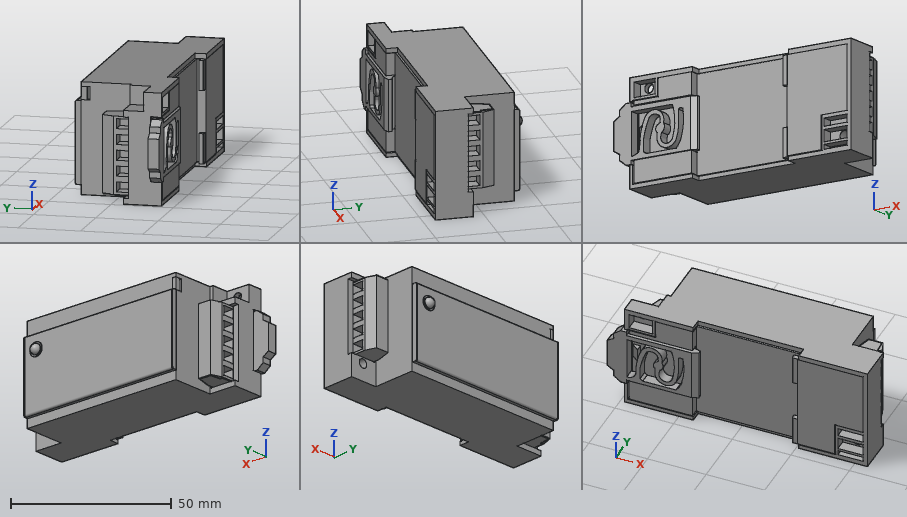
import cadquery as cq


CASE_LENGTH = 82.9
CASE_WIDTH = 36.1
HALF_WIDTH = CASE_WIDTH / 2
SHOULDER_Y = 12.2
TOWER_LEFT = 10.45
TOWER_RIGHT = 72.4
TOWER_Y = 28.3

OPENING_LEFT = 1.1
OPENING_RIGHT = 81.4
OPENING_TOP = 16.4
OPENING_BOTTOM = -16.65
OPENING_DEPTH = 3.7
COVER_GAP = 0.3
RAIL_LEFT = 23.5
RAIL_RIGHT = 59.4

UPPER_PILLAR_RIGHT = 10.4
UPPER_PILLAR_BOTTOM = 10.5
LOWER_PILLAR_LEFT = 72.0
LOWER_PILLAR_TOP = -5.1
UPPER_POCKET_LEFT = 1.6
UPPER_POCKET_RIGHT = 9.6
UPPER_POCKET_BOTTOM = 11.3
LOWER_POCKET_LEFT = 72.8
LOWER_POCKET_SPANS = [(-8.95, -6.3), (-14.0, -10.0), (-16.4, -14.8)]
SCREW_DIAMETER = 3.2
UPPER_SCREW = (4.8, 14.8)
LOWER_SCREW = (78.0, -11.9)

NOTCH_LENGTH = 9.1
NOTCH_FLOOR_Y = 5.7
NOTCH_BOTTOM = 11.9

COVER_LEFT = 1.6
COVER_RAIL_LEFT = 23.2
COVER_RAIL_RIGHT = 59.0
COVER_RAIL_Y = 3.0
HOOK_REACH = 1.95
HOOK_LOW_Y = 0.3
HOOK_HIGH_Y = 1.9
HOOK_BEVEL = 0.3
HOOK_SPANS = [(6.7, OPENING_TOP), (OPENING_BOTTOM, -7.0)]

LATCH_FRONT_Y = -0.5
LATCH_BACK_Y = 2.9
LATCH_MIDDLE_Z = -0.3
LATCH_TOP = 8.4
LATCH_BOTTOM = -8.95
LATCH_SLOT_TOP = 8.95
LATCH_NOSE_X = 25.25
NOSE_LOW_Y = 0.3
NOSE_HIGH_Y = 1.4
NOSE_ROOT_Y = 2.1
HEAD_SLOT_HALF = 10.3
HEAD_SLOT_DEPTH = 3.45
HEAD_STEPS = [(0.9, 10.0), (-1.1, 10.0), (-3.45, 8.15), (-3.45, 6.2), (-5.7, 4.8)]

CATCH_HEEL_X = 1.5
CATCH_TIP_X = 3.8
CATCH_HEEL_Y = 3.3
CATCH_TIP_Y = 1.5
CATCH_TOP = 2.4
CATCH_BOTTOM = -2.0

TERMINAL_BASE_Y = 10.6
TERMINAL_TOP = 9.5
TERMINAL_BOTTOM = -15.9
TERMINAL_SEAT_GAP = 0.3
TERMINAL_FACE_X = 2.1
TERMINAL_BACK_X = 10.1
TERMINAL_SLOPE_Y = 15.95
TERMINAL_BACK_SLOPE_Y = 13.9
TERMINAL_CREST_Y = 19.75
TERMINAL_CREST_LEFT = 3.45
TERMINAL_CREST_RIGHT = 8.5
END_STEP = 0.3
END_NOTCH_X = 3.4
END_NOTCH_Y = 15.4
WIRE_ENTRIES = 5
WIRE_PITCH = 5.05
FIRST_WIRE_Z = 7.1
WIRE_WIDTH = 3.2
WIRE_LOW_Y = 10.7
WIRE_HIGH_Y = 15.0
WIRE_TAPER = 0.3
WIRE_DEPTH = 3.5

FRONT_LEFT = 10.1
FRONT_RIGHT = 72.1
FRONT_TOP = 12.1
FRONT_BOTTOM = -14.8
FRONT_Y = 30.1
FRONT_ROUNDING = 0.6
WINDOW_BORDER = 0.4
WINDOW_BACK_Y = 29.4

LAMP_X = 66.9
LAMP_Z = 6.55
LAMP_RADIUS = 1.9
BEZEL_RADIUS = 2.5
BEZEL_THICKNESS = 0.3

INSERT_TOP = 16.6
INSERT_BOTTOM = 12.3
INSERT_Y = 26.4
INSERT_SLOT_Y = 25.5
INSERT_DEPTH = 1.3


def box(x0, x1, y0, y1, z0, z1):
    """Box between the given limits."""
    return cq.Workplane("XY").box(x1 - x0, y1 - y0, z1 - z0, centered=False).translate((x0, y0, z0))


def face_at(y):
    """Work plane at height y with local axes X and Z; extruding goes toward -Y."""
    return cq.Workplane("XZ", origin=(0, y, 0))


def prism_z(points, z0, z1):
    """X-Y outline extruded from z0 to z1."""
    return cq.Workplane("XY", origin=(0, 0, z0)).polyline(points).close().extrude(z1 - z0)


def half_turn(body):
    """The same body at the other end of the case."""
    middle = CASE_LENGTH / 2
    return body.rotate((middle, 0, 0), (middle, 1, 0), 180)


def opening_volume():
    """Room inside the rim on the rail side, around the two screw pillars."""
    room = box(OPENING_LEFT, OPENING_RIGHT, 0, OPENING_DEPTH, OPENING_BOTTOM, OPENING_TOP)
    upper = box(OPENING_LEFT, UPPER_PILLAR_RIGHT, 0, OPENING_DEPTH, UPPER_PILLAR_BOTTOM, OPENING_TOP)
    lower = box(LOWER_PILLAR_LEFT, OPENING_RIGHT, 0, OPENING_DEPTH, OPENING_BOTTOM, LOWER_PILLAR_TOP)
    return room.cut(upper).cut(lower)


def screw_hole(place, end_y):
    return face_at(end_y).center(*place).circle(SCREW_DIAMETER / 2).extrude(end_y)


def terminal_seat():
    """Sunken seat across the left shoulder for a terminal block."""
    low = TERMINAL_BOTTOM - TERMINAL_SEAT_GAP
    high = TERMINAL_TOP + TERMINAL_SEAT_GAP
    return box(0, TERMINAL_BACK_X, TERMINAL_BASE_Y, SHOULDER_Y, low, high)


def catch():
    """Ramp on the opening floor, inside the latch window."""
    outline = [
        (OPENING_LEFT, OPENING_DEPTH),
        (OPENING_LEFT, CATCH_HEEL_Y),
        (CATCH_HEEL_X, CATCH_HEEL_Y),
        (CATCH_TIP_X, CATCH_TIP_Y),
        (CATCH_TIP_X, OPENING_DEPTH),
    ]
    return prism_z(outline, CATCH_BOTTOM, CATCH_TOP)


def make_housing():
    base = box(0, CASE_LENGTH, 0, SHOULDER_Y, -HALF_WIDTH, HALF_WIDTH)
    tower = box(TOWER_LEFT, TOWER_RIGHT, SHOULDER_Y, TOWER_Y, -HALF_WIDTH, HALF_WIDTH)
    housing = base.union(tower).cut(opening_volume())
    housing = housing.cut(box(RAIL_LEFT, RAIL_RIGHT, 0, OPENING_DEPTH, -HALF_WIDTH, HALF_WIDTH))
    housing = housing.cut(box(0, OPENING_LEFT, 0, HEAD_SLOT_DEPTH, -HEAD_SLOT_HALF, HEAD_SLOT_HALF))
    housing = housing.cut(
        box(UPPER_POCKET_LEFT, UPPER_POCKET_RIGHT, 0, OPENING_DEPTH, UPPER_POCKET_BOTTOM, OPENING_TOP)
    )
    for low, high in LOWER_POCKET_SPANS:
        housing = housing.cut(box(LOWER_POCKET_LEFT, OPENING_RIGHT, 0, OPENING_DEPTH, low, high))
    housing = housing.cut(box(0, NOTCH_LENGTH, NOTCH_FLOOR_Y, SHOULDER_Y, NOTCH_BOTTOM, HALF_WIDTH))
    housing = housing.cut(screw_hole(UPPER_SCREW, NOTCH_FLOOR_Y)).cut(screw_hole(LOWER_SCREW, SHOULDER_Y))
    housing = housing.cut(terminal_seat()).cut(half_turn(terminal_seat()))
    insert_end = TOWER_LEFT + INSERT_DEPTH
    housing = housing.cut(box(TOWER_LEFT, insert_end, INSERT_SLOT_Y, TOWER_Y, INSERT_BOTTOM, INSERT_TOP))
    return housing.union(catch())


def hook_outline():
    """Section of a rail hook, bevelled at its lower tip."""
    tip_x = COVER_RAIL_RIGHT - HOOK_REACH
    return [
        (COVER_RAIL_RIGHT, HOOK_LOW_Y),
        (tip_x + HOOK_BEVEL, HOOK_LOW_Y),
        (tip_x, HOOK_LOW_Y + HOOK_BEVEL),
        (tip_x, HOOK_HIGH_Y),
        (COVER_RAIL_RIGHT, HOOK_HIGH_Y),
    ]


def make_bottom_cover():
    """Plate in the opening: two thick wings joined by a thin web along the rail channel."""
    cover = opening_volume()
    cover = cover.cut(box(OPENING_LEFT, COVER_LEFT, 0, OPENING_DEPTH, -HALF_WIDTH, HALF_WIDTH))
    low = OPENING_BOTTOM + COVER_GAP
    for left, right in [(OPENING_LEFT, COVER_RAIL_LEFT), (COVER_RAIL_RIGHT, OPENING_RIGHT)]:
        cover = cover.cut(box(left, right, 0, OPENING_DEPTH, OPENING_BOTTOM, low))
    pillar_right = UPPER_PILLAR_RIGHT + COVER_GAP
    pillar_bottom = UPPER_PILLAR_BOTTOM - COVER_GAP
    cover = cover.cut(box(OPENING_LEFT, pillar_right, 0, OPENING_DEPTH, pillar_bottom, OPENING_TOP))
    pillar_left = LOWER_PILLAR_LEFT - COVER_GAP
    cover = cover.cut(box(pillar_left, OPENING_RIGHT, 0, OPENING_DEPTH, OPENING_BOTTOM, LOWER_PILLAR_TOP))
    cover = cover.cut(box(COVER_RAIL_LEFT, COVER_RAIL_RIGHT, 0, COVER_RAIL_Y, -HALF_WIDTH, HALF_WIDTH))
    cover = cover.cut(box(COVER_LEFT, COVER_RAIL_LEFT, 0, OPENING_DEPTH, LATCH_BOTTOM, LATCH_SLOT_TOP))
    for low, high in HOOK_SPANS:
        cover = cover.union(prism_z(hook_outline(), low, high))
    return cover


def upper_spring_window():
    """Latch window on the outer side of the S-shaped spring arm."""
    return (
        face_at(LATCH_BACK_Y)
        .moveTo(1.1, -7.6)
        .lineTo(1.1, 6.8)
        .lineTo(16.0, 6.8)
        .lineTo(16.5, 6.3)
        .threePointArc((17.3, 1.3), (16.6, -3.45))
        .threePointArc((14.3, -5.5), (12.0, -3.1))
        .lineTo(12.3, -1.7)
        .threePointArc((13.4, -0.2), (13.0, 1.3))
        .threePointArc((9.7, 6.1), (6.2, 4.4))
        .threePointArc((4.9, 1.0), (4.25, -2.7))
        .lineTo(4.1, -5.6)
        .threePointArc((3.0, -7.1), (1.4, -7.6))
        .close()
        .extrude(LATCH_BACK_Y - LATCH_FRONT_Y)
    )


def lower_spring_window():
    """Latch window on the inner side of the S-shaped spring arm, ending in a slim finger."""
    return (
        face_at(LATCH_BACK_Y)
        .moveTo(6.5, -7.6)
        .lineTo(5.6, -6.9)
        .lineTo(5.6, -2.7)
        .threePointArc((6.4, 0.5), (7.5, 3.5))
        .threePointArc((9.6, 4.7), (11.8, 2.8))
        .lineTo(11.7, 1.6)
        .lineTo(10.7, 1.0)
        .threePointArc((10.1, -0.2), (10.6, -1.4))
        .lineTo(10.6, -3.9)
        .threePointArc((13.9, -6.8), (17.9, -4.4))
        .threePointArc((18.6, -1.3), (18.7, 1.0))
        .lineTo(18.7, 4.8)
        .threePointArc((19.6, 5.2), (20.3, 4.6))
        .threePointArc((20.55, 1.0), (19.8, -3.8))
        .threePointArc((19.05, -5.9), (17.8, -7.6))
        .close()
        .extrude(LATCH_BACK_Y - LATCH_FRONT_Y)
    )


def make_latch():
    """Sliding latch: stepped pull head, flat body with a cut-out spring and a bevelled nose."""
    side = [
        (HEAD_STEPS[0][0], LATCH_FRONT_Y),
        (COVER_RAIL_LEFT, LATCH_FRONT_Y),
        (LATCH_NOSE_X, NOSE_LOW_Y),
        (LATCH_NOSE_X, NOSE_HIGH_Y),
        (COVER_RAIL_LEFT, NOSE_ROOT_Y),
        (COVER_RAIL_LEFT, LATCH_BACK_Y),
        (HEAD_STEPS[0][0], LATCH_BACK_Y),
    ]
    body = prism_z(side, LATCH_BOTTOM, LATCH_TOP)
    upper_edge = [(x, LATCH_MIDDLE_Z + half) for x, half in HEAD_STEPS]
    lower_edge = [(x, LATCH_MIDDLE_Z - half) for x, half in reversed(HEAD_STEPS)]
    head = face_at(LATCH_BACK_Y).polyline(upper_edge + lower_edge).close()
    head = head.extrude(LATCH_BACK_Y - LATCH_FRONT_Y)
    return body.union(head).cut(upper_spring_window()).cut(lower_spring_window())


def wire_entry(z):
    """Rectangular wire entry centred at z, narrowing slightly toward its floor."""
    height = WIRE_HIGH_Y - WIRE_LOW_Y
    return (
        cq.Workplane("YZ", origin=(TERMINAL_FACE_X, (WIRE_LOW_Y + WIRE_HIGH_Y) / 2, z))
        .rect(height, WIRE_WIDTH)
        .workplane(offset=WIRE_DEPTH)
        .rect(height - 2 * WIRE_TAPER, WIRE_WIDTH - 2 * WIRE_TAPER)
        .loft(ruled=True)
    )


def make_left_terminal():
    """Terminal block with a thin stepped plate on its lower end and a row of wire entries."""
    outline = [
        (TERMINAL_FACE_X, TERMINAL_BASE_Y),
        (TERMINAL_FACE_X, TERMINAL_SLOPE_Y),
        (TERMINAL_CREST_LEFT, TERMINAL_CREST_Y),
        (TERMINAL_CREST_RIGHT, TERMINAL_CREST_Y),
        (TERMINAL_BACK_X, TERMINAL_BACK_SLOPE_Y),
        (TERMINAL_BACK_X, TERMINAL_BASE_Y),
    ]
    end_outline = [
        (TERMINAL_FACE_X + END_STEP, TERMINAL_BASE_Y),
        (TERMINAL_FACE_X + END_STEP, END_NOTCH_Y),
        (END_NOTCH_X, END_NOTCH_Y),
        (TERMINAL_CREST_LEFT + END_STEP, TERMINAL_CREST_Y - END_STEP),
        (TERMINAL_CREST_RIGHT - END_STEP, TERMINAL_CREST_Y - END_STEP),
        (TERMINAL_BACK_X - END_STEP, TERMINAL_BACK_SLOPE_Y),
        (TERMINAL_BACK_X - END_STEP, TERMINAL_BASE_Y),
    ]
    terminal = prism_z(outline, TERMINAL_BOTTOM + END_STEP, TERMINAL_TOP)
    terminal = terminal.union(prism_z(end_outline, TERMINAL_BOTTOM, TERMINAL_BOTTOM + END_STEP))
    for i in range(WIRE_ENTRIES):
        terminal = terminal.cut(wire_entry(FIRST_WIRE_Z - i * WIRE_PITCH))
    return terminal


def front_profile(x0, x1):
    """Front cover section, rounded along both long edges, from x0 to x1."""
    blank = box(x0, x1, TOWER_Y, FRONT_Y, FRONT_BOTTOM, FRONT_TOP)
    return blank.faces(">Y").edges("|X").fillet(FRONT_ROUNDING)


def make_window():
    """Window plate: the outer layer of the front section between the end borders."""
    left = FRONT_LEFT + WINDOW_BORDER
    right = FRONT_RIGHT - WINDOW_BORDER
    layer = box(left, right, WINDOW_BACK_Y, FRONT_Y, FRONT_BOTTOM, FRONT_TOP)
    return front_profile(left, right).intersect(layer)


def make_front_cover():
    return front_profile(FRONT_LEFT, FRONT_RIGHT).cut(make_window())


def make_bezel():
    """Flat ring around the lamp."""
    ring = face_at(FRONT_Y + BEZEL_THICKNESS).center(LAMP_X, LAMP_Z)
    return ring.circle(BEZEL_RADIUS).circle(LAMP_RADIUS).extrude(BEZEL_THICKNESS)


def make_lamp():
    """Round lamp standing in the bezel with a domed tip."""
    dome_y = FRONT_Y + BEZEL_THICKNESS
    return (
        cq.Workplane("XY", origin=(LAMP_X, 0, LAMP_Z))
        .moveTo(0, FRONT_Y)
        .lineTo(LAMP_RADIUS, FRONT_Y)
        .lineTo(LAMP_RADIUS, dome_y)
        .radiusArc((0, dome_y + LAMP_RADIUS), -LAMP_RADIUS)
        .close()
        .revolve(360, (0, 0, 0), (0, 1, 0))
    )


def make_insert():
    """Small block in the tower wall, flush with it, leaving a slot behind."""
    return box(TOWER_LEFT, TOWER_LEFT + INSERT_DEPTH, INSERT_Y, TOWER_Y, INSERT_BOTTOM, INSERT_TOP)


housing = make_housing()
bottom_cover = make_bottom_cover()
latch = make_latch()
left_terminal = make_left_terminal()
right_terminal = half_turn(left_terminal)
front_cover = make_front_cover()
window = make_window()
bezel = make_bezel()
lamp = make_lamp()
insert = make_insert()

result = cq.Compound.makeCompound(
    [
        housing.val(),
        bottom_cover.val(),
        latch.val(),
        left_terminal.val(),
        right_terminal.val(),
        front_cover.val(),
        window.val(),
        bezel.val(),
        lamp.val(),
        insert.val(),
    ]
)